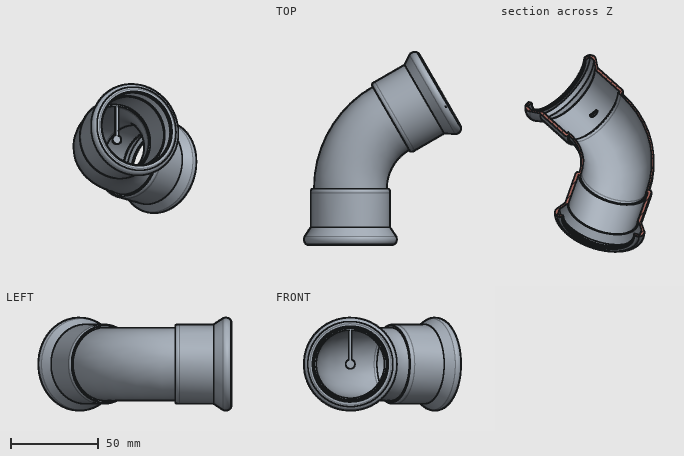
import cadquery as cq
import math

BEND_ANGLE = 60.0
BEND_RADIUS = 46.3
TUBE_RADIUS = 20.9
TUBE_BORE_RADIUS = 19.4

SOCKET_LENGTH = 32.4
SOCKET_RADIUS = 45.4 / 2
SOCKET_BORE_RADIUS = 41.0 / 2
STOP_DEPTH = 30.4
SHOULDER_LENGTH = 2.4
SHOULDER_DROP = 0.8
SHOULDER_MID_DROP = 0.2
SHOULDER_MID_DEPTH = 31.6

BEAD_RADIUS = 26.6
BEAD_FACE_RADIUS = 23.2
BEAD_LENGTH = 5.2
BEAD_ROUND = BEAD_RADIUS - BEAD_FACE_RADIUS
CONE_END_DEPTH = 10.4

MOUTH_RADIUS = 43.3 / 2
LIP_LENGTH = 0.7
GROOVE_RADIUS = 24.3
GROOVE_CONE_DEPTH = 5.2
GROOVE_END_DEPTH = 9.9
GROOVE_END_RADIUS = 42.3 / 2

SEAL_THICKNESS = 1.3
SEAL_BORE_RADIUS = GROOVE_END_RADIUS
SEAL_BEVEL_RADIUS = 21.4
SEAL_BEVEL_LENGTH = 0.3

MARKER_DISC_RADIUS = 2.7
MARKER_BAR_WIDTH = 1.8
MARKER_THICKNESS = 1.1

AXIS_END = (0, 1, 0)
BEND_CENTRE = (BEND_RADIUS, SOCKET_LENGTH)


def revolve_about_y(profile):
    """Close a (radius, depth) profile and turn it about the Y axis."""
    return profile.close().revolve(360, (0, 0, 0), AXIS_END)


def socket_body():
    """Socket outside, solid, with the mouth at Y = 0."""
    shoulder_start = SOCKET_LENGTH - SHOULDER_LENGTH
    shoulder_radius = SOCKET_RADIUS - SHOULDER_DROP
    shoulder_mid = (SOCKET_RADIUS - SHOULDER_MID_DROP, SHOULDER_MID_DEPTH)
    widest = (BEAD_RADIUS, BEAD_ROUND)
    bead_cone_radius = BEAD_FACE_RADIUS + math.sqrt(BEAD_ROUND**2 - (BEAD_LENGTH - BEAD_ROUND) ** 2)
    profile = (
        cq.Workplane("XY")
        .lineTo(BEAD_FACE_RADIUS, 0)
        .threePointArc(widest, (bead_cone_radius, BEAD_LENGTH))
        .lineTo(SOCKET_RADIUS, CONE_END_DEPTH)
        .lineTo(SOCKET_RADIUS, shoulder_start)
        .threePointArc(shoulder_mid, (shoulder_radius, SOCKET_LENGTH))
        .lineTo(0, SOCKET_LENGTH)
    )
    return revolve_about_y(profile)


def socket_cavity():
    """Space inside a socket: mouth, seal groove, bore and the way into the tube."""
    profile = (
        cq.Workplane("XY")
        .lineTo(MOUTH_RADIUS, 0)
        .lineTo(MOUTH_RADIUS, LIP_LENGTH)
        .lineTo(GROOVE_RADIUS, LIP_LENGTH)
        .lineTo(GROOVE_RADIUS, GROOVE_CONE_DEPTH)
        .lineTo(GROOVE_END_RADIUS, GROOVE_END_DEPTH)
        .lineTo(SOCKET_BORE_RADIUS, GROOVE_END_DEPTH)
        .lineTo(SOCKET_BORE_RADIUS, STOP_DEPTH)
        .lineTo(TUBE_BORE_RADIUS, STOP_DEPTH)
        .lineTo(TUBE_BORE_RADIUS, SOCKET_LENGTH)
        .lineTo(0, SOCKET_LENGTH)
    )
    return revolve_about_y(profile)


def seal_ring():
    """Seal held against the back of the mouth lip."""
    profile = (
        cq.Workplane("XY")
        .moveTo(SEAL_BEVEL_RADIUS, LIP_LENGTH)
        .lineTo(GROOVE_RADIUS, LIP_LENGTH)
        .lineTo(GROOVE_RADIUS, LIP_LENGTH + SEAL_THICKNESS)
        .lineTo(SEAL_BORE_RADIUS, LIP_LENGTH + SEAL_THICKNESS)
        .lineTo(SEAL_BORE_RADIUS, LIP_LENGTH + SEAL_BEVEL_LENGTH)
    )
    return revolve_about_y(profile)


def bend(radius):
    """Solid round bar following the bend."""
    return (
        cq.Workplane("XZ", origin=(0, SOCKET_LENGTH, 0))
        .circle(radius)
        .revolve(BEND_ANGLE, (BEND_RADIUS, 0, 0), (BEND_RADIUS, -1, 0))
    )


def at_far_end(shape):
    """Mirror a part of the first socket across the middle plane of the bend."""
    half_angle = math.radians(BEND_ANGLE / 2)
    normal = (math.sin(half_angle), math.cos(half_angle), 0)
    return shape.mirror(cq.Vector(*normal), (*BEND_CENTRE, 0))


def stop_marker():
    """Disc and bar flush with the stop; the bar runs up into the stop."""
    plane = cq.Workplane("XZ", origin=(0, STOP_DEPTH, 0))
    disc = plane.circle(MARKER_DISC_RADIUS).extrude(-MARKER_THICKNESS)
    bar = (
        plane.center(0, SOCKET_BORE_RADIUS / 2)
        .rect(MARKER_BAR_WIDTH, SOCKET_BORE_RADIUS)
        .extrude(-MARKER_THICKNESS)
    )
    return disc.union(bar)


outside = bend(TUBE_RADIUS)
inside = bend(TUBE_BORE_RADIUS)
near_body = socket_body()
near_cavity = socket_cavity()
housing = (
    outside.union(near_body)
    .union(at_far_end(near_body))
    .cut(inside)
    .cut(near_cavity)
    .cut(at_far_end(near_cavity))
    .union(stop_marker())
)

near_seal = seal_ring()
seals = []
for seal in (near_seal, at_far_end(near_seal)):
    seals.append(seal.val())

result = cq.Compound.makeCompound([housing.val(), *seals])